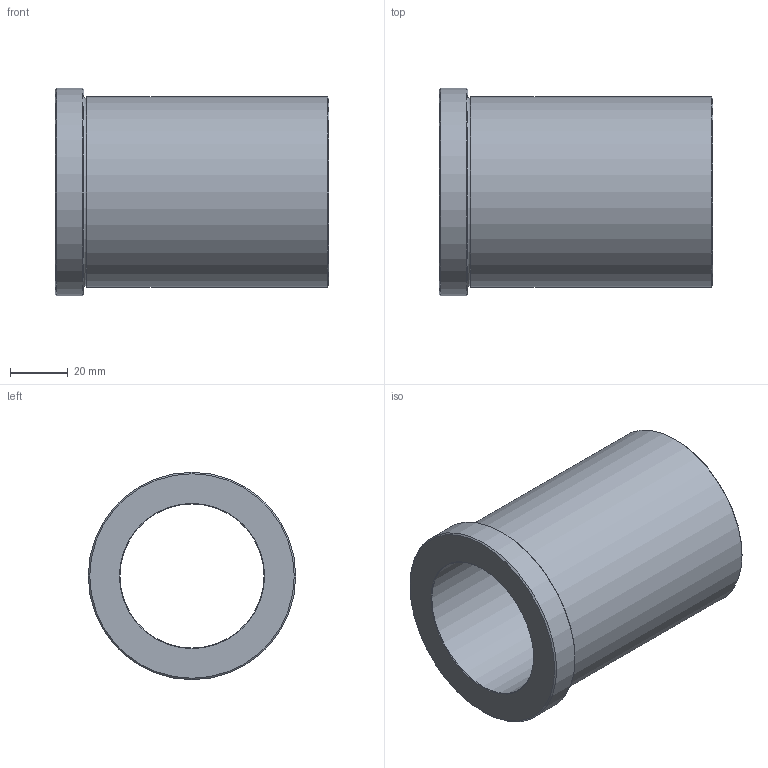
import cadquery as cq

total_length = 95.0
flange_diameter = 72.0
flange_length = 10.0
body_diameter = 66.0
bore_diameter = 50.0

outer_chamfer = 0.5
bore_chamfer = 0.2

relief_radius = 0.5

flange_radius = flange_diameter / 2
body_radius = body_diameter / 2
bore_radius = bore_diameter / 2
body_start = flange_length + 2 * relief_radius


def make_bushing():
    """Revolve the half section, drawn as (X, radius), about the X axis."""
    section = (
        cq.Workplane("XY")
        .moveTo(0, bore_radius + bore_chamfer)
        .lineTo(0, flange_radius - outer_chamfer)
        .lineTo(outer_chamfer, flange_radius)
        .lineTo(flange_length - outer_chamfer, flange_radius)
        .lineTo(flange_length, flange_radius - outer_chamfer)
        .lineTo(flange_length, body_radius)
        .threePointArc(
            (flange_length + relief_radius, body_radius - relief_radius),
            (body_start, body_radius),
        )
        .lineTo(total_length - outer_chamfer, body_radius)
        .lineTo(total_length, body_radius - outer_chamfer)
        .lineTo(total_length, bore_radius)
        .lineTo(bore_chamfer, bore_radius)
        .close()
    )
    return section.revolve(360, (0, 0, 0), (1, 0, 0))


result = make_bushing()